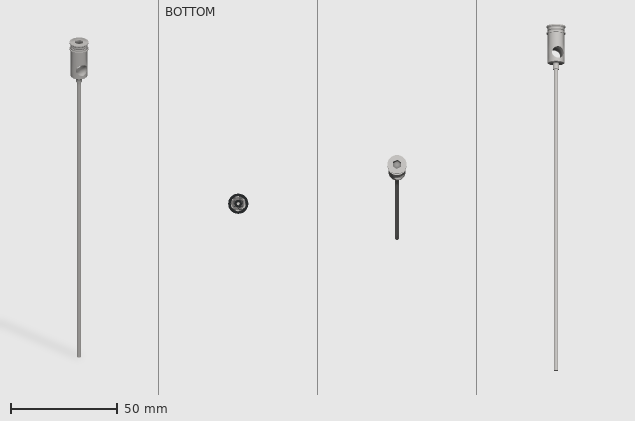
import cadquery as cq

total_length = 168.0
body_bottom = 18.0
collar_bottom = 21.0

ring_radius = 4.5
body_radius = 4.0
collar_radius = 1.5
rod_radius = 1.0

top_ring_rim = 0.5
top_ring_bottom = top_ring_rim + ring_radius - body_radius

groove_top = 2.0
groove_depth = 0.5
groove_bottom = groove_top + groove_depth

lower_ring_top = 3.3
lower_ring_bottom = 3.75

body_chamfer = 0.2

cross_hole_diameter = 5.6
cross_hole_depth = 13.45

socket_across_flats = 3.8
socket_depth = 3.0


def turned_blank():
    """Head rings, groove, body, collar and long rod, revolved about Z."""
    corners = [
        (0, 0),
        (ring_radius, 0),
        (ring_radius, top_ring_rim),
        (body_radius, top_ring_bottom),
        (body_radius, groove_top),
        (body_radius - groove_depth, groove_bottom),
        (body_radius, groove_bottom),
        (body_radius, lower_ring_top),
        (ring_radius, lower_ring_top),
        (ring_radius, lower_ring_bottom),
        (body_radius, lower_ring_bottom),
        (body_radius, body_bottom - body_chamfer),
        (body_radius - body_chamfer, body_bottom),
        (collar_radius, body_bottom),
        (collar_radius, collar_bottom),
        (rod_radius, collar_bottom),
        (rod_radius, total_length),
        (0, total_length),
    ]
    outline = cq.Workplane("XZ").polyline([(-radius, -depth) for radius, depth in corners])
    return outline.close().revolve(360, (0, 0, 0), (0, 1, 0))


def cross_hole():
    """Cylindrical cutter along X, longer than the body is wide."""
    return (
        cq.Workplane("YZ")
        .center(0, -cross_hole_depth)
        .circle(cross_hole_diameter / 2)
        .extrude(2 * body_radius, both=True)
    )


def hex_socket():
    """Hexagonal cutter sunk from the top face, with corners on the Y axis."""
    return (
        cq.Workplane("XY")
        .polygon(6, socket_across_flats, circumscribed=True)
        .extrude(-socket_depth)
    )


result = turned_blank().cut(cross_hole()).cut(hex_socket())